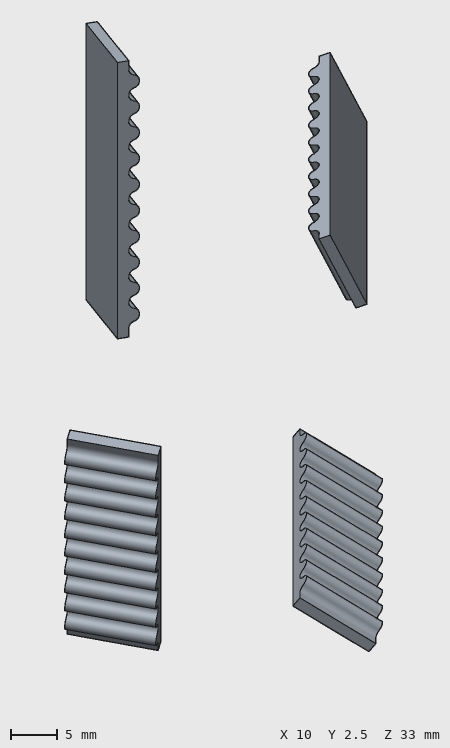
import cadquery as cq
import math

length = 33.0
width = 10.0
thickness = 2.5
tooth_height = 1.22
root_y = thickness - tooth_height

tooth_count = 10
end_margin = 2.57
pitch = (length - 2 * end_margin) / (tooth_count - 1)
half_pitch = pitch / 2
quarter_pitch = pitch / 4
mid_y = root_y + tooth_height / 2

arc_rise = tooth_height / 2
arc_radius = (quarter_pitch**2 + arc_rise**2) / (2 * arc_rise)
half_root_offset = pitch / 8
half_root_y = root_y + arc_radius - math.sqrt(arc_radius**2 - half_root_offset**2)
teeth_bottom_z = end_margin - half_pitch
teeth_top_z = length - teeth_bottom_z


def add_crest(outline, crest_z):
    """Add the rounded tip of a tooth, rising in Z."""
    return outline.threePointArc((thickness, crest_z), (mid_y, crest_z + quarter_pitch))


def add_root(outline, root_z):
    """Add the rounded valley between two teeth, rising in Z."""
    return outline.threePointArc((root_y, root_z), (mid_y, root_z + quarter_pitch))


profile = cq.Workplane("YZ").moveTo(0, 0).lineTo(root_y, 0)
profile = profile.lineTo(root_y, teeth_bottom_z)
profile = profile.threePointArc(
    (half_root_y, teeth_bottom_z + half_root_offset),
    (mid_y, teeth_bottom_z + quarter_pitch),
)
for index in range(tooth_count):
    crest_z = end_margin + index * pitch
    if index > 0:
        profile = add_root(profile, crest_z - half_pitch)
    profile = add_crest(profile, crest_z)
profile = profile.threePointArc(
    (half_root_y, teeth_top_z - half_root_offset),
    (root_y, teeth_top_z),
)
profile = profile.lineTo(root_y, length).lineTo(0, length).close()

result = profile.extrude(width)